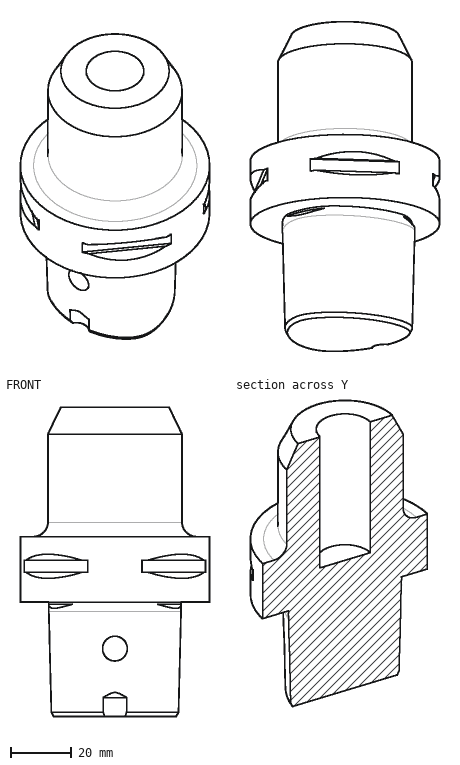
import cadquery as cq
import math

total_height = 103.0
chamfer_height = 1.5
taper_top = 35.0
flange_bottom = 38.1
flange_top = 59.9
nose_cone_bottom = 94.0

flange_radius = 31.5
body_radius = 22.4
nose_radius = 18.0
root_fillet = 4.8
bore_radius = 9.6
bore_depth = 51.5

shank_radius = 22.0
lobe_height = 1.3
taper_ratio = 0.025
end_chamfer = 0.8
lobe_angle = math.radians(90)
lobe_count = 3
outline_points = 48
overlap = 0.5

groove_radius = 22.4
groove_wall_height = 0.7
groove_flare_slope = 1.3

gripper_flare_start = 28.7
gripper_pocket_depth = 1.1
gripper_pocket_length = 29.9
gripper_floor_height = 4.1
gripper_wall_spread = 2.0
gripper_center_z = 50.1
gripper_count = 4
gripper_start_angle = 45

drill_tip_angle = math.radians(118)
side_hole_radius = 4.1
side_hole_z = 22.7
side_hole_depth = 7.2
key_radius = 4.3
key_axis_y = -21.5
key_depth = 6.4


def lobed_point(angle, radius):
    """Point of the convex lobed curve whose tangent distance rises and falls once per lobe."""
    phase = lobe_count * (angle - lobe_angle)
    distance = radius + lobe_height * math.cos(phase)
    slope = -lobe_count * lobe_height * math.sin(phase)
    return (
        distance * math.cos(angle) - slope * math.sin(angle),
        distance * math.sin(angle) + slope * math.cos(angle),
    )


def lobed_section(radius, z):
    angles = [2 * math.pi * i / outline_points for i in range(outline_points)]
    points = [lobed_point(angle, radius) for angle in angles]
    return cq.Workplane("XY", origin=(0, 0, z)).spline(points, periodic=True).close().val()


def shank_frustum(bottom_radius, bottom_z, top_radius, top_z):
    sections = [lobed_section(bottom_radius, bottom_z), lobed_section(top_radius, top_z)]
    return cq.Workplane(cq.Solid.makeLoft(sections, True))


def drill(radius, depth):
    """Drill-shaped cutter along +Z from the origin, with a conical tip beyond depth."""
    tip = radius / math.tan(drill_tip_angle / 2)
    profile = [(0, 0), (radius, 0), (radius, depth), (0, depth + tip)]
    return cq.Workplane("XZ").polyline(profile).close().revolve(360, (0, 0, 0), (0, 1, 0))


def make_body():
    fillet_x = body_radius + root_fillet
    fillet_z = flange_top + root_fillet
    arc_middle = (
        fillet_x - root_fillet * math.cos(math.pi / 4),
        fillet_z - root_fillet * math.sin(math.pi / 4),
    )
    profile = (
        cq.Workplane("XZ")
        .moveTo(0, flange_bottom)
        .lineTo(flange_radius, flange_bottom)
        .lineTo(flange_radius, flange_top)
        .lineTo(fillet_x, flange_top)
        .threePointArc(arc_middle, (body_radius, fillet_z))
        .lineTo(body_radius, nose_cone_bottom)
        .lineTo(nose_radius, total_height)
        .lineTo(0, total_height)
        .close()
    )
    body = profile.revolve(360, (0, 0, 0), (0, 1, 0))
    bore = cq.Workplane("XY", origin=(0, 0, total_height)).circle(bore_radius).extrude(-bore_depth)
    return body.cut(bore)


def make_shank():
    small_radius = shank_radius - taper_ratio * (taper_top - chamfer_height)
    chamfer = shank_frustum(small_radius - end_chamfer, 0, small_radius, chamfer_height)
    taper = shank_frustum(small_radius, chamfer_height, shank_radius, taper_top)
    collar = shank_frustum(shank_radius, taper_top, shank_radius, flange_bottom + overlap)
    return chamfer.union(taper).union(collar)


def make_relief_groove():
    """Ring cutter with a short straight wall below the flange, then flaring outwards and down."""
    wall_bottom = flange_bottom - groove_wall_height
    flare = flange_radius - groove_radius
    profile = [
        (groove_radius, flange_bottom),
        (groove_radius, wall_bottom),
        (flange_radius, wall_bottom - flare * groove_flare_slope),
        (flange_radius, flange_bottom),
    ]
    return cq.Workplane("XZ").polyline(profile).close().revolve(360, (0, 0, 0), (0, 1, 0))


def make_gripper_groove(angle):
    """Shallow square-walled pocket whose upper and lower walls flare out to the flange rim."""
    floor = gripper_floor_height / 2
    mouth = floor + gripper_wall_spread
    profile = [
        (gripper_flare_start, -floor),
        (flange_radius, -mouth),
        (flange_radius, mouth),
        (gripper_flare_start, floor),
    ]
    groove = cq.Workplane("XZ").polyline(profile).close().extrude(gripper_pocket_length / 2, both=True)
    pocket_floor = gripper_flare_start - gripper_pocket_depth
    pocket = cq.Workplane("XY").box(
        flange_radius - pocket_floor,
        gripper_pocket_length,
        gripper_floor_height,
        centered=(False, True, True),
    )
    groove = groove.union(pocket.translate((pocket_floor, 0, 0)))
    return groove.translate((0, 0, gripper_center_z)).rotate((0, 0, 0), (0, 0, 1), angle)


def make_side_hole():
    cutter = drill(side_hole_radius, side_hole_depth).rotate((0, 0, 0), (1, 0, 0), -90)
    return cutter.translate((0, lobe_height - shank_radius, side_hole_z))


def make_key_slot():
    return drill(key_radius, key_depth).translate((0, key_axis_y, 0))


result = make_shank().cut(make_relief_groove()).union(make_body())
for index in range(gripper_count):
    result = result.cut(make_gripper_groove(gripper_start_angle + index * 360 / gripper_count))
result = result.cut(make_side_hole()).cut(make_key_slot())